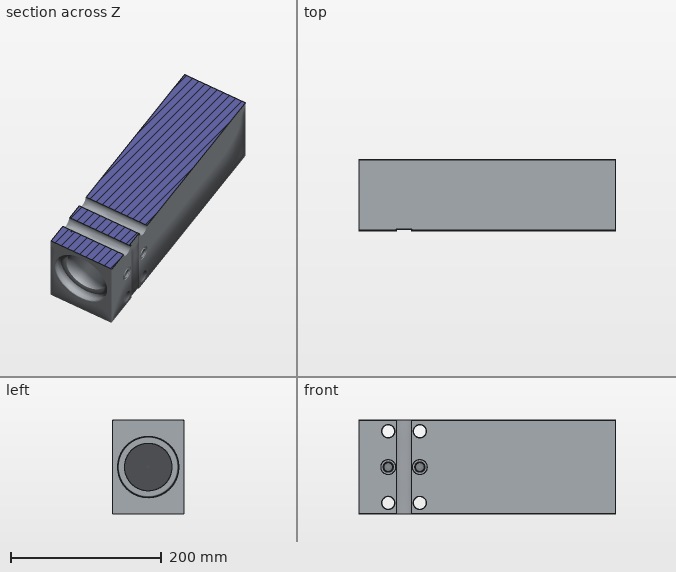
import cadquery as cq

length = 341.0
width = 95.0
height = 125.0
edge_chamfer = 1.0

bore_diameter = 63.0
bore_depth = 307.0
seat_diameter = 80.0
seat_depth = 14.0
seat_chamfer = 0.7

keyway_center = 60.0
keyway_width = 20.0
keyway_depth = 2.0

hole_pitch_x = 42.0
hole_pitch_z = 95.0
bolt_diameter = 17.0

recess_diameter = 19.8
recess_depth = 1.0
rim_diameter = 13.5
port_diameter = 12.0
port_depth = 4.5

mid_y = width / 2
mid_z = height / 2
hole_columns = [keyway_center - hole_pitch_x / 2, keyway_center + hole_pitch_x / 2]
hole_rows = [mid_z - hole_pitch_z / 2, mid_z + hole_pitch_z / 2]


def drill_x(diameter, depth):
    """Cylinder on the bore axis, running inward from the -X end."""
    return cq.Workplane("YZ").center(mid_y, mid_z).circle(diameter / 2).extrude(depth)


def drill_y(x, z, diameter, start, end):
    """Cylinder along Y at (x, z), between two Y positions."""
    plane = cq.Workplane("XZ", origin=(x, start, z))
    return plane.circle(diameter / 2).extrude(start - end)


def port(x):
    """Material removed by one port: the recess around its rim, and the drilling."""
    recess = drill_y(x, mid_z, recess_diameter, 0, recess_depth)
    rim = drill_y(x, mid_z, rim_diameter, 0, recess_depth)
    drilling = drill_y(x, mid_z, port_diameter, 0, port_depth)
    return recess.cut(rim).union(drilling)


block = cq.Workplane("XY").box(length, width, height, centered=False)
block = block.edges("|X").chamfer(edge_chamfer)

keyway = cq.Workplane("XY").box(keyway_width, keyway_depth, height, centered=False)
block = block.cut(keyway.translate((keyway_center - keyway_width / 2, 0, 0)))

block = block.cut(drill_x(bore_diameter, bore_depth))
block = block.cut(drill_x(seat_diameter, seat_depth))
block = block.faces("<X").edges("%CIRCLE").chamfer(seat_chamfer)

for column in hole_columns:
    for row in hole_rows:
        block = block.cut(drill_y(column, row, bolt_diameter, 0, width))
    block = block.cut(port(column))

result = block